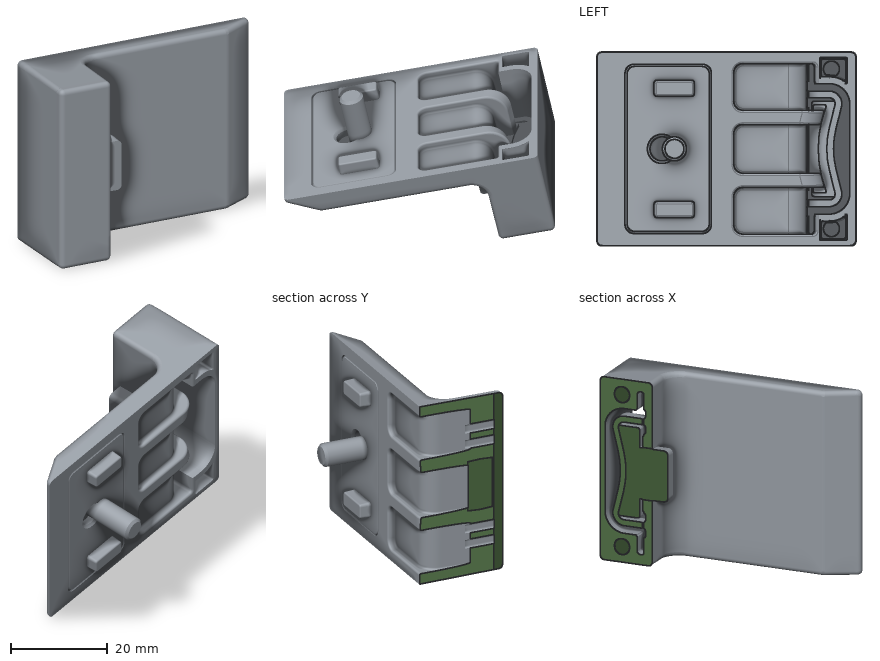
import cadquery as cq
import math

length = 53.5
height = 40.0
depth = 19.1
stud_reach = 9.4
plate_thickness = 4.55
foot_width = 12.05
lid_thickness = 2.05
lid_seat = depth - lid_thickness
edge_radius = 1.0
foot_wall = 1.65
bend_radius = 3.6
tip_width = 0.9
tip_start = 46.65
tip_round = 1.8
draft_angle = 0.5
half_height = height / 2
lid_inset = lid_seat * math.tan(math.radians(draft_angle))

pocket_end = 25.25
pocket_floor = 1.6
pocket_low_side = 8.35
pocket_low_draft = 0.3
pocket_corner = 1.85
pocket_low_corner = 0.65
rim_radius = 0.45
floor_radius = 0.45
middle_pocket_half = 5.05
outer_pocket_bottom = 7.95
outer_pocket_top = 17.6
foot_inner_face = foot_width - foot_wall
foot_inner_draft = 0.6
spring_seat = foot_inner_face - foot_inner_draft

rim_wall = 1.3
cavity_half = 13.5
cavity_corner = 4.3
rib_end_middle = 7.8
rib_end_side = 6.4
rib_end_half = 7.95
rib_bend = 4.4
latch_back = 11.1
latch_front = 16.65

corner_pocket_high_y = 7.55
corner_pocket_low_y = 1.8
corner_pocket_top = 18.9
corner_pocket_wall = 1.05
corner_pocket_corner = 0.4
corner_pocket_depth = 12.85
corner_pocket_draft = 1.5
peg_diameter = 3.3
peg_y = 5.1
peg_z = 16.5

insert_y = 38.8
insert_width = 17.85
insert_height = 35.0
insert_thickness = 2.0
insert_corner = 1.9
insert_edge = 0.5
hole_offset = 1.3
stud_diameter = 5.0
stud_chamfer = 0.55
hole_rim = 0.55
stud_y = insert_y - hole_offset
tab_y = 37.55
tab_length = 8.35
tab_width = 3.35
tab_height = 2.45
tab_z = 12.5
tab_draft = 3.5
tab_corner = 0.65
tab_edge = 0.3

latch_half = 9.85
latch_high_y = 9.15
latch_corner = 0.55
latch_step = 0.65
step_half = 9.1
step_high_y = 8.85
step_side_y = 6.05
step_corner = 0.3
button_end = 15.55
button_half = 5.6
button_draft = 0.15
button_edge = 1.05

spring_thickness = 1.4
notch_width = 2.05
notch_corner = 0.55
spring_arm_z = 11.25
spring_corner = 1.9
spring_bow_y = 5.35
spring_bow_half = 4.3
spring_tilt = math.radians(14)


def yz_plane(x):
    """Workplane across X, with local axes Y and Z."""
    return cq.Workplane("YZ").workplane(offset=x)


def bracket_blank():
    """L-shaped bracket with tapered sides, a sloped tip and rounded outer edges."""
    sides = (
        yz_plane(0)
        .center(length / 2, 0)
        .sketch()
        .rect(length, height)
        .vertices()
        .fillet(edge_radius)
        .finalize()
        .extrude(lid_seat, taper=draft_angle)
    )
    outline = (
        cq.Workplane("XY")
        .workplane(offset=-half_height)
        .lineTo(lid_seat, 0)
        .lineTo(lid_seat, foot_width)
        .lineTo(plate_thickness + bend_radius, foot_width)
        .radiusArc((plate_thickness, foot_width + bend_radius), bend_radius)
        .lineTo(plate_thickness, tip_start)
        .lineTo(tip_width, length)
        .lineTo(0, length)
        .close()
        .extrude(height)
        .edges(cq.NearestToPointSelector((plate_thickness, tip_start, 0)))
        .fillet(tip_round)
    )
    blank = sides.intersect(outline)
    front_edges = cq.Workplane("XY")
    for side in (-1, 1):
        corner_a = (tip_width, foot_width - 0.25, side * (half_height - 0.55))
        corner_b = (lid_seat - 0.25, length, side * (half_height + 0.55))
        front_edges = front_edges.add(blank.edges(cq.selectors.BoxSelector(corner_a, corner_b)))
    return blank.newObject(front_edges.vals()).fillet(edge_radius)


def pocket(z_low, z_high, low_y, low_corner=0):
    """Pocket that follows the plate, the bend and the foot wall down to the lid."""
    cutter = (
        cq.Workplane("XY")
        .workplane(offset=z_low)
        .moveTo(0, low_y)
        .lineTo(0, pocket_end)
        .lineTo(pocket_floor, pocket_end)
        .lineTo(pocket_floor, foot_inner_face + bend_radius)
        .radiusArc((pocket_floor + bend_radius, foot_inner_face), -bend_radius)
        .lineTo(lid_seat, spring_seat)
        .lineTo(lid_seat, low_y + pocket_low_draft)
        .close()
        .extrude(z_high - z_low)
        .edges("|X and >Y")
        .fillet(pocket_corner)
    )
    if low_corner > 0:
        corner_edge = cq.NearestToPointSelector(
            (lid_seat / 2, low_y + pocket_low_draft / 2, z_high))
        cutter = cutter.edges(corner_edge).fillet(low_corner)
    floor_box = cq.selectors.BoxSelector(
        (pocket_floor - 0.05, spring_seat, -height), (lid_seat - 0.05, length, height))
    return cutter.edges(floor_box).edges("not |Z").fillet(floor_radius)


def arm_notch(z):
    """Notch in the foot wall beside a spring arm."""
    return (
        yz_plane(latch_back - latch_step)
        .center(foot_inner_face - notch_width / 2, z)
        .rect(notch_width, notch_width)
        .extrude(lid_seat - latch_back + latch_step)
        .edges("|X")
        .fillet(notch_corner)
    )


def latch_cavity():
    """Cavity behind the foot: open at the rim, wider below the rib ends."""
    bend_y = rim_wall + cavity_corner
    bend_z = cavity_half - cavity_corner
    bend_mid = cavity_corner * math.sqrt(0.5)
    inner_y = spring_seat - 0.55
    opening = (
        yz_plane(0)
        .moveTo(inner_y, cavity_half)
        .lineTo(bend_y, cavity_half)
        .threePointArc((bend_y - bend_mid, bend_z + bend_mid), (rim_wall, bend_z))
        .lineTo(rim_wall, -bend_z)
        .threePointArc((bend_y - bend_mid, -bend_z - bend_mid), (bend_y, -cavity_half))
        .lineTo(inner_y, -cavity_half)
        .lineTo(inner_y, -rib_end_half)
        .lineTo(rib_end_side, -rib_end_half)
        .threePointArc((rib_end_middle, 0), (rib_end_side, rib_end_half))
        .lineTo(inner_y, rib_end_half)
        .close()
        .extrude(lid_seat)
    )
    space_bottom = latch_back - latch_step
    latch_space = (
        yz_plane(space_bottom)
        .center((rib_end_side + spring_seat) / 2, 0)
        .rect(spring_seat - rib_end_side, 2 * cavity_half)
        .extrude(lid_seat - space_bottom)
    )
    return opening.union(latch_space)


def rib_end_rounding():
    """Material to remove where the ribs curve from the mounting face into the foot."""
    square = (
        yz_plane(0)
        .moveTo(pocket_end, -rib_end_half)
        .lineTo(rib_end_side, -rib_end_half)
        .threePointArc((rib_end_middle, 0), (rib_end_side, rib_end_half))
        .lineTo(pocket_end, rib_end_half)
        .close()
        .extrude(latch_back)
    )
    rounded = square.edges(cq.NearestToPointSelector((0, rib_end_middle, 0))).fillet(rib_bend)
    return square.cut(rounded)


def corner_pocket():
    """Upper corner pocket; its lower side runs around the cavity corner."""
    arc_y = rim_wall + cavity_corner
    arc_z = cavity_half - cavity_corner
    arc_radius = cavity_corner + corner_pocket_wall
    end_z = arc_z + math.sqrt(arc_radius**2 - (arc_y - corner_pocket_low_y)**2)
    return (
        yz_plane(0)
        .moveTo(corner_pocket_high_y, arc_z + arc_radius)
        .lineTo(corner_pocket_high_y, corner_pocket_top)
        .lineTo(corner_pocket_low_y, corner_pocket_top)
        .lineTo(corner_pocket_low_y, end_z)
        .radiusArc((arc_y, arc_z + arc_radius), arc_radius)
        .close()
        .extrude(corner_pocket_depth, taper=corner_pocket_draft)
        .edges("not #X")
        .edges("not |Y")
        .edges("not |Z")
        .fillet(corner_pocket_corner)
    )


def peg(z):
    """Cylinder from the corner pocket floor to the lid."""
    return (
        yz_plane(corner_pocket_depth)
        .center(peg_y, z)
        .circle(peg_diameter / 2)
        .extrude(lid_seat - corner_pocket_depth)
    )


def insert_block():
    """Rounded plate filling the recess in the mounting face."""
    return (
        yz_plane(0)
        .center(insert_y, 0)
        .rect(insert_width, insert_height)
        .extrude(insert_thickness)
        .edges("|X")
        .fillet(insert_corner)
    )


def tab(z):
    """Tapered, rounded tab standing on the insert."""
    return (
        yz_plane(0)
        .center(tab_y, z)
        .sketch()
        .rect(tab_length, tab_width)
        .vertices()
        .fillet(tab_corner)
        .finalize()
        .extrude(-tab_height, taper=tab_draft)
        .faces("<X")
        .edges()
        .fillet(tab_edge)
    )


def build_insert():
    """Insert with two tabs and two overlapping stud holes."""
    body = insert_block().faces("<X").edges().chamfer(insert_edge)
    for z in (-tab_z, tab_z):
        body = body.union(tab(z))
    for side in (-1, 1):
        hole = (
            yz_plane(-0.55)
            .center(insert_y + side * hole_offset, 0)
            .circle(stud_diameter / 2)
            .extrude(insert_thickness + 0.55)
        )
        body = body.cut(hole)
    flare = cq.Solid.makeCone(
        stud_diameter / 2 + hole_rim, stud_diameter / 2, hole_rim,
        pnt=cq.Vector(0, insert_y + hole_offset, 0), dir=cq.Vector(1, 0, 0),
    )
    return body.cut(cq.Workplane(flare))


def build_stud():
    """Stud standing on the floor of the insert recess."""
    return (
        yz_plane(-stud_reach)
        .center(stud_y, 0)
        .circle(stud_diameter / 2)
        .extrude(stud_reach + insert_thickness)
        .faces("<X")
        .chamfer(stud_chamfer)
    )


def button():
    """Latch button through the foot wall, widest halfway along X."""
    middle = (latch_back + latch_front) / 2
    side_half = button_half - button_draft
    return (
        cq.Workplane("XZ", origin=(0, latch_high_y, 0))
        .moveTo(latch_back, side_half)
        .lineTo(middle, button_half)
        .lineTo(latch_front, side_half)
        .lineTo(latch_front, -side_half)
        .lineTo(middle, -button_half)
        .lineTo(latch_back, -side_half)
        .close()
        .extrude(latch_high_y - button_end)
        .faces(">Y")
        .edges("not |Z")
        .fillet(button_edge)
    )


def spring_centreline():
    """Wavy line: arm, outer bend, tilted stretch, central bow, then mirrored in Z."""
    sin_tilt = math.sin(spring_tilt)
    cos_tilt = math.cos(spring_tilt)
    bow_radius = spring_bow_half / sin_tilt
    bow_end_y = spring_bow_y - bow_radius * (1 - cos_tilt)
    bend_z = spring_arm_z - spring_corner
    bend_end_z = bend_z - spring_corner * sin_tilt
    bend_end_y = bow_end_y - (bend_end_z - spring_bow_half) * math.tan(spring_tilt)
    bend_y = bend_end_y + spring_corner * cos_tilt
    bend_mid = spring_corner * math.sqrt(0.5)
    return (
        yz_plane(latch_back)
        .moveTo(spring_seat, spring_arm_z)
        .lineTo(bend_y, spring_arm_z)
        .threePointArc((bend_y - bend_mid, bend_z + bend_mid), (bend_end_y, bend_end_z))
        .lineTo(bow_end_y, spring_bow_half)
        .threePointArc((spring_bow_y, 0), (bow_end_y, -spring_bow_half))
        .lineTo(bend_end_y, -bend_end_z)
        .threePointArc((bend_y - bend_mid, -bend_z - bend_mid), (bend_y, -spring_arm_z))
        .lineTo(spring_seat, -spring_arm_z)
    )


def build_spring():
    """Leaf spring of constant thickness whose arms end square at the foot wall."""
    leaf = (
        spring_centreline()
        .wire()
        .offset2D(spring_thickness / 2)
        .extrude(latch_front - latch_back)
    )
    seat_side = (
        yz_plane(latch_back)
        .center(spring_seat / 2, 0)
        .rect(spring_seat, height)
        .extrude(latch_front - latch_back)
    )
    return leaf.intersect(seat_side)


def build_latch(spring):
    """Latch plate resting against the spring, with its raised step and button."""
    enclosed = spring_centreline().close().extrude(latch_front - latch_back)
    plate_block = (
        yz_plane(latch_back)
        .center(latch_high_y / 2, 0)
        .rect(latch_high_y, 2 * latch_half)
        .extrude(latch_front - latch_back)
        .edges("|X and >Y")
        .fillet(latch_corner)
    )
    plate = enclosed.intersect(plate_block).cut(spring)
    step = (
        yz_plane(latch_back - latch_step)
        .moveTo(step_high_y, step_half)
        .lineTo(step_side_y, step_half)
        .threePointArc((rib_end_middle, 0), (step_side_y, -step_half))
        .lineTo(step_high_y, -step_half)
        .close()
        .extrude(latch_step)
        .edges("|X")
        .fillet(step_corner)
    )
    bridge = (
        yz_plane(latch_back - latch_step)
        .center((rib_end_middle + spring_seat) / 2, 0)
        .rect(spring_seat - rib_end_middle, 2 * button_half)
        .extrude(latch_front - latch_back + latch_step)
    )
    return plate.union(step).union(bridge).union(button())


def build_lid():
    """Lid closing the foot, with two pegs reaching the corner pockets."""
    cover = (
        yz_plane(lid_seat)
        .center((lid_inset + foot_width) / 2, 0)
        .rect(foot_width - lid_inset, height - 2 * lid_inset)
        .extrude(lid_thickness)
        .edges("|X or >X")
        .fillet(edge_radius)
    )
    for z in (-peg_z, peg_z):
        cover = cover.union(peg(z))
    return cover


def build_housing():
    """Bracket with its recess, pockets, cavity and openings."""
    body = bracket_blank().cut(latch_cavity())
    body = body.cut(rib_end_rounding())
    upper_pocket = pocket(outer_pocket_bottom, outer_pocket_top, pocket_low_side, pocket_low_corner)
    body = body.cut(upper_pocket).cut(upper_pocket.mirror("XY"))
    body = body.cut(pocket(-middle_pocket_half, middle_pocket_half, rib_end_side))
    pocket_rims = body.edges(cq.selectors.BoxSelector(
        (-0.05, pocket_low_side - 0.05, -outer_pocket_top - 0.05),
        (0.05, pocket_end + 0.05, outer_pocket_top + 0.05)))
    body = body.newObject(pocket_rims.vals()).fillet(rim_radius)
    arm_gap = (notch_width + spring_thickness) / 2
    for arm_z in (-spring_arm_z, spring_arm_z):
        for side in (-1, 1):
            body = body.cut(arm_notch(arm_z + side * arm_gap))
    upper_corner = corner_pocket()
    body = body.cut(upper_corner).cut(upper_corner.mirror("XY"))
    for z in (-peg_z, peg_z):
        body = body.cut(peg(z))
    return body.cut(insert_block()).cut(button())


housing = build_housing()
insert = build_insert()
stud = build_stud()
spring = build_spring()
latch = build_latch(spring)
lid = build_lid()

result = cq.Compound.makeCompound([
    housing.val(), insert.val(), stud.val(), spring.val(), latch.val(), lid.val(),
])